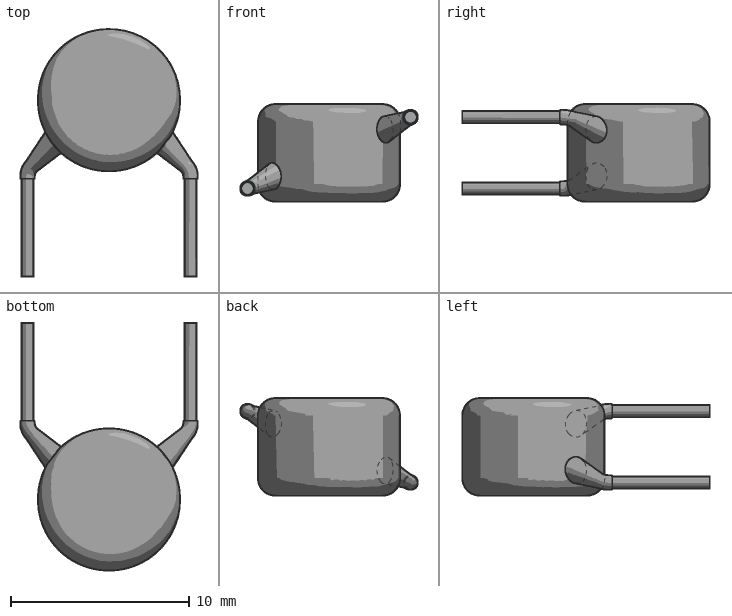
import cadquery as cq

HOUSING_DIAMETER = 8.0
HOUSING_HEIGHT = 5.5
RIM_RADIUS = 1.0

OVERALL_LENGTH = 13.91
LEAD_RADIUS = 0.35
LEAD_X = 4.58
LEAD_Z = 2.0
LEAD_TIP_Y = HOUSING_DIAMETER / 2 - OVERALL_LENGTH

SLEEVE_RADIUS = 0.42
SLEEVE_END_Y = -4.42
COLLAR_LENGTH = 0.14
COLLAR_ROUNDING = SLEEVE_RADIUS - LEAD_RADIUS
BEND_TANGENT = 0.33
CONE_BASE = cq.Vector(2.4, -1.63, 1.0)
CONE_BASE_RADIUS = 0.9

collar_start = cq.Vector(LEAD_X, SLEEVE_END_Y + COLLAR_LENGTH, LEAD_Z)
bend_corner = collar_start + cq.Vector(0, BEND_TANGENT, 0)
cone_direction = (bend_corner - CONE_BASE).normalized()
bend_start = bend_corner - cone_direction * BEND_TANGENT
cone_length = (bend_start - CONE_BASE).Length


def make_disc():
    disc_plane = cq.Plane(origin=(0, 0, -HOUSING_HEIGHT / 2))
    disc = cq.Workplane(disc_plane).circle(HOUSING_DIAMETER / 2).extrude(HOUSING_HEIGHT)
    return disc.faces("|Z").edges().fillet(RIM_RADIUS)


def make_cone():
    return cq.Workplane(
        cq.Solid.makeCone(CONE_BASE_RADIUS, SLEEVE_RADIUS, cone_length, CONE_BASE, cone_direction)
    )


def make_bend():
    path = cq.Wire.assembleEdges([cq.Edge.makeTangentArc(bend_start, cone_direction, collar_start)])
    profile_plane = cq.Plane(origin=bend_start, normal=cone_direction)
    return cq.Workplane(profile_plane).circle(SLEEVE_RADIUS).sweep(path)


def make_collar():
    collar_plane = cq.Plane(origin=collar_start, xDir=(1, 0, 0), normal=(0, -1, 0))
    collar = cq.Workplane(collar_plane).circle(SLEEVE_RADIUS).extrude(COLLAR_LENGTH)
    return collar.faces("<Y").edges().fillet(COLLAR_ROUNDING)


def turn_about_y(part, angle):
    return part.rotate((0, 0, 0), (0, 1, 0), angle)


def make_lead(angle):
    """A wire that butts against the flat end of its sleeve."""
    lead_plane = cq.Plane(origin=(LEAD_X, SLEEVE_END_Y, LEAD_Z), xDir=(1, 0, 0), normal=(0, -1, 0))
    lead = cq.Workplane(lead_plane).circle(LEAD_RADIUS).extrude(SLEEVE_END_Y - LEAD_TIP_Y)
    return turn_about_y(lead, angle)


SIDE_ANGLES = (0, 180)


def make_housing():
    body = make_disc()
    sleeve = make_cone().union(make_bend()).union(make_collar())
    for angle in SIDE_ANGLES:
        body = body.union(turn_about_y(sleeve, angle))
    return body


housing = make_housing()
leads = [make_lead(angle) for angle in SIDE_ANGLES]

result = cq.Compound.makeCompound([housing.solids().val(), *[lead.val() for lead in leads]])